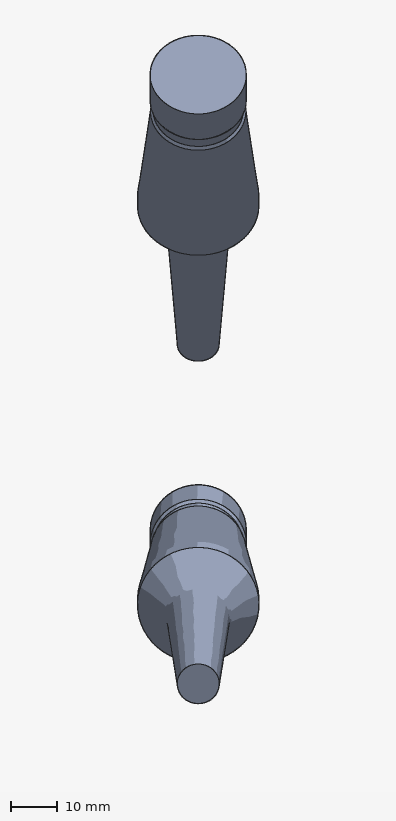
import cadquery as cq

total_length = 100.0

tip_diameter = 9.0
shank_top_diameter = 13.5
body_diameter = 26.0
body_top_diameter = 20.4
neck_diameter = 19.4
head_diameter = 20.6

shank_length = 43.0
flare_length = 8.4
band_length = 3.6
head_length = 9.5
head_chamfer_length = 0.8
neck_length = 2.6
shoulder_chamfer_length = 0.7

blend_radius = 2.5

flare_top = shank_length + flare_length
band_top = flare_top + band_length
head_bottom = total_length - head_length
neck_top = head_bottom - head_chamfer_length
neck_bottom = neck_top - neck_length
body_top = neck_bottom - shoulder_chamfer_length

sections = [
    (tip_diameter, 0),
    (shank_top_diameter, shank_length),
    (body_diameter, flare_top),
    (body_diameter, band_top),
    (body_top_diameter, body_top),
    (neck_diameter, neck_bottom),
    (neck_diameter, neck_top),
    (head_diameter, head_bottom),
    (head_diameter, total_length),
]
outer_points = [(diameter / 2, height) for diameter, height in sections]
profile = [(0, 0)] + outer_points + [(0, total_length)]

turned_body = cq.Workplane("XZ").polyline(profile).close().revolve(360, (0, 0), (0, 1))

corner_edge = cq.selectors.NearestToPointSelector((0, 0, shank_length))
result = turned_body.edges("%CIRCLE").edges(corner_edge).fillet(blend_radius)